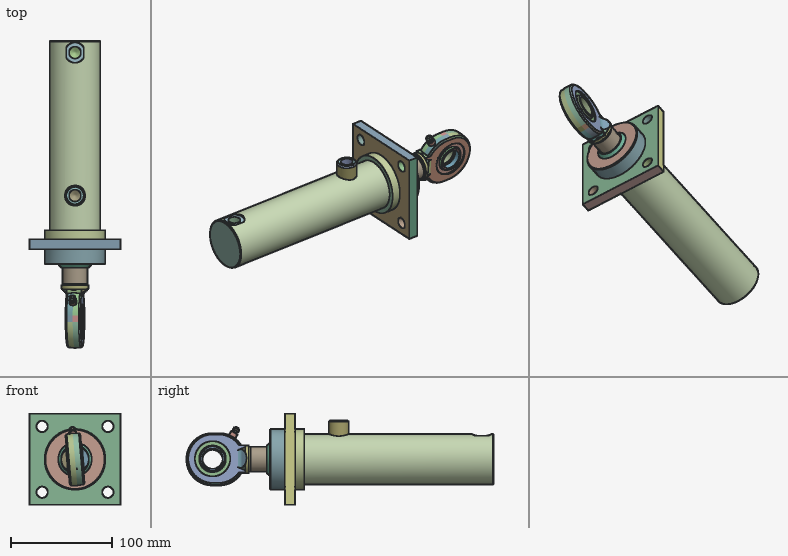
import cadquery as cq
import math

OVERALL_LENGTH = 303.5
REACH = 82.5

TUBE_DIAMETER = 50.0
TUBE_CHAMFER = 1.0
GLAND_DIAMETER = 60.0
GLAND_LENGTH = 34.0
GLAND_CHAMFER = 1.0
FLANGE_SIDE = 90.0
FLANGE_THICKNESS = 10.0
FLANGE_SETBACK = 15.0
FLANGE_HOLE_DIAMETER = 11.0
FLANGE_HOLE_PITCH = 65.0
WIPER_BASE_DIAMETER = 33.0
WIPER_TIP_DIAMETER = 27.0
WIPER_LENGTH = 3.3

PORT_DIAMETER = 11.8
PORT_DEPTH = 12.0
PORT_DRILL_ANGLE = 118.0
BOSS_DIAMETER = 20.0
BOSS_TOP = 38.5
BOSS_CHAMFER = 1.5
FRONT_PORT_FROM_REAR = 153.0
REAR_PORT_FROM_REAR = 11.8
SPOTFACE_DEPTH = 1.5

ROD_DIAMETER = 25.0
ROD_STICKOUT = 18.8

COLLAR_DIAMETER = 27.5
COLLAR_SETBACK = 1.8
COLLAR_STRAIGHT = 3.5
COLLAR_NOSE_DIAMETER = 22.5
NECK_HEIGHT = 26.7
SHOULDER_SETBACK = 2.5
SHOULDER_WIDTH = 17.0
SHOULDER_LENGTH = 5.0
SHOULDER_BLEND_LENGTH = 3.5

EYE_TILT = 5.0
EYE_DIAMETER = 52.0
EYE_STRAIGHT = 6.5
EYE_THICKNESS = 15.0
EYE_CHAMFER = 1.5
EYE_DRAFT = 4.0

RACE_DIAMETER = 35.0
RACE_WIDTH = 12.0
BALL_DIAMETER = 29.0
BALL_WIDTH = 16.0
BALL_BORE = 20.0
BORE_GROOVE_WIDTH = 1.8
BORE_GROOVE_DEPTH = 1.0

NIPPLE_ELEVATION = 60.0
NIPPLE_BASE_DIAMETER = 7.3
NIPPLE_NECK_DIAMETER = 4.0
NIPPLE_HEAD_DIAMETER = 6.0
NIPPLE_TIP_DIAMETER = 3.0
NIPPLE_ROOT_DEPTH = 4.5
NIPPLE_BASE_HEIGHT = 4.5
NIPPLE_NECK_HEIGHT = 2.0
NIPPLE_HEAD_HEIGHT = 2.0
NIPPLE_TIP_HEIGHT = 1.5

TUBE_BACK = OVERALL_LENGTH - REACH
FRONT_PORT_Y = TUBE_BACK - FRONT_PORT_FROM_REAR
REAR_PORT_Y = TUBE_BACK - REAR_PORT_FROM_REAR
ROD_FRONT = -ROD_STICKOUT
COLLAR_BACK = ROD_FRONT - COLLAR_SETBACK
COLLAR_CONE_BACK = COLLAR_BACK - COLLAR_STRAIGHT
SHOULDER_START = COLLAR_BACK - SHOULDER_SETBACK
SHOULDER_BACK = SHOULDER_START - SHOULDER_LENGTH
SHOULDER_FRONT = SHOULDER_BACK - SHOULDER_BLEND_LENGTH
EYE_RADIUS = EYE_DIAMETER / 2
HALF_EYE = EYE_THICKNESS / 2
BEARING_Y = -REACH + EYE_RADIUS
EYE_BACK_ARC_Y = BEARING_Y + EYE_STRAIGHT


def disc(diameter, front, back):
    """Cylinder along Y on the main axis, between two Y positions."""
    plane = cq.Workplane("XZ", origin=(0, back, 0))
    return plane.circle(diameter / 2).extrude(back - front)


def flange():
    """Square mounting plate with a hole in each corner."""
    plate = cq.Workplane("XZ", origin=(0, FLANGE_SETBACK + FLANGE_THICKNESS, 0))
    return (
        plate.rect(FLANGE_SIDE, FLANGE_SIDE)
        .extrude(FLANGE_THICKNESS)
        .faces("<Y")
        .workplane(origin=(0, 0, 0))
        .rect(FLANGE_HOLE_PITCH, FLANGE_HOLE_PITCH, forConstruction=True)
        .vertices()
        .hole(FLANGE_HOLE_DIAMETER)
    )


def wiper():
    """Conical wiper lip standing out of the gland's front face."""
    return (
        cq.Workplane("XZ")
        .circle(WIPER_BASE_DIAMETER / 2)
        .workplane(offset=WIPER_LENGTH)
        .circle(WIPER_TIP_DIAMETER / 2)
        .loft()
    )


def drilled_hole(y, top):
    """Blind port hole with a conical drill point, cut downwards from the height `top`."""
    radius = PORT_DIAMETER / 2
    point_height = radius / math.tan(math.radians(PORT_DRILL_ANGLE / 2))
    shoulder = top - PORT_DEPTH
    return (
        cq.Workplane("XZ", origin=(0, y, 0))
        .moveTo(0, top)
        .lineTo(radius, top)
        .lineTo(radius, shoulder)
        .lineTo(0, shoulder - point_height)
        .close()
        .revolve(360, (0, 0, 0), (0, 1, 0))
    )


def make_housing():
    """Tube, gland, flange, wiper and ports, with a blind seat for the rod."""
    tube = disc(TUBE_DIAMETER, 0, TUBE_BACK).faces(">Y").chamfer(TUBE_CHAMFER)
    gland = disc(GLAND_DIAMETER, 0, GLAND_LENGTH).faces("<Y").chamfer(GLAND_CHAMFER)

    boss = (
        cq.Workplane("XY", origin=(0, FRONT_PORT_Y, 0))
        .circle(BOSS_DIAMETER / 2)
        .extrude(BOSS_TOP)
        .faces(">Z")
        .chamfer(BOSS_CHAMFER)
    )

    spotface_z = TUBE_DIAMETER / 2 - SPOTFACE_DEPTH
    spotface = (
        cq.Workplane("XY", origin=(0, REAR_PORT_Y, spotface_z))
        .circle(BOSS_DIAMETER / 2)
        .extrude(TUBE_DIAMETER)
    )

    body = tube.union(gland).union(flange()).union(wiper()).union(boss)
    body = body.cut(spotface)
    body = body.cut(drilled_hole(FRONT_PORT_Y, BOSS_TOP))
    body = body.cut(drilled_hole(REAR_PORT_Y, spotface_z))
    return body.cut(disc(ROD_DIAMETER, -WIPER_LENGTH, GLAND_LENGTH))


def make_rod():
    """Plain rod from its seat in the gland to the rod end."""
    return disc(ROD_DIAMETER, ROD_FRONT, GLAND_LENGTH)


def eye_half(direction):
    """Half of the eye plate, tapering from the parting plane at X = 0 towards one side."""
    return (
        cq.Workplane("YZ", origin=(0, (BEARING_Y + EYE_BACK_ARC_Y) / 2, 0))
        .slot2D(EYE_STRAIGHT + EYE_DIAMETER, EYE_DIAMETER)
        .extrude(direction * HALF_EYE, taper=EYE_DRAFT)
        .faces(">X" if direction > 0 else "<X")
        .chamfer(EYE_CHAMFER)
    )


def collar():
    """Round collar with a conical nose, its sides cut down to the eye by sloping shoulders."""
    half_collar = COLLAR_DIAMETER / 2
    turned = (
        cq.Workplane("XY")
        .moveTo(0, COLLAR_BACK)
        .lineTo(half_collar, COLLAR_BACK)
        .lineTo(half_collar, COLLAR_CONE_BACK)
        .lineTo(COLLAR_NOSE_DIAMETER / 2, SHOULDER_FRONT)
        .lineTo(0, SHOULDER_FRONT)
        .close()
        .revolve(360, (0, 0, 0), (0, 1, 0))
    )
    half_envelope = (
        cq.Workplane("XY", origin=(0, 0, -half_collar))
        .moveTo(0, EYE_BACK_ARC_Y)
        .lineTo(HALF_EYE, EYE_BACK_ARC_Y)
        .lineTo(HALF_EYE, SHOULDER_FRONT)
        .tangentArcPoint((SHOULDER_WIDTH / 2, SHOULDER_BACK), relative=False)
        .lineTo(half_collar, SHOULDER_START)
        .lineTo(half_collar, COLLAR_BACK)
        .lineTo(0, COLLAR_BACK)
        .close()
        .extrude(COLLAR_DIAMETER)
    )
    return turned.intersect(half_envelope.union(half_envelope.mirror("YZ")))


def shank():
    """Weld stub, collar, and the flat neck that leads into the eye."""
    stub = disc(ROD_DIAMETER, COLLAR_BACK, ROD_FRONT)
    neck = (
        cq.Workplane("XZ", origin=(0, COLLAR_CONE_BACK, 0))
        .rect(EYE_THICKNESS, NECK_HEIGHT)
        .extrude(COLLAR_CONE_BACK - EYE_BACK_ARC_Y)
    )
    return stub.union(collar()).union(neck)


def bearing():
    """Race and spherical ball as one ring, revolved about the bearing axis along X."""
    ball_radius = BALL_DIAMETER / 2
    half_ball = BALL_WIDTH / 2
    half_race = RACE_WIDTH / 2
    half_groove = BORE_GROOVE_WIDTH / 2
    groove_radius = BALL_BORE / 2 + BORE_GROOVE_DEPTH
    ball_face_radius = math.sqrt(ball_radius**2 - half_ball**2)
    race_inner_radius = math.sqrt(ball_radius**2 - half_race**2)
    arc_middle_x = (half_ball + half_race) / 2
    arc_middle_radius = math.sqrt(ball_radius**2 - arc_middle_x**2)
    return (
        cq.Workplane("XY", origin=(0, BEARING_Y, 0))
        .moveTo(-half_ball, BALL_BORE / 2)
        .lineTo(-half_groove, BALL_BORE / 2)
        .lineTo(-half_groove, groove_radius)
        .lineTo(half_groove, groove_radius)
        .lineTo(half_groove, BALL_BORE / 2)
        .lineTo(half_ball, BALL_BORE / 2)
        .lineTo(half_ball, ball_face_radius)
        .threePointArc((arc_middle_x, arc_middle_radius), (half_race, race_inner_radius))
        .lineTo(half_race, RACE_DIAMETER / 2)
        .lineTo(-half_race, RACE_DIAMETER / 2)
        .lineTo(-half_race, race_inner_radius)
        .threePointArc((-arc_middle_x, arc_middle_radius), (-half_ball, ball_face_radius))
        .close()
        .revolve(360, (0, 0, 0), (1, 0, 0))
    )


def grease_nipple():
    """Nipple pointing radially out of the eye's rear arc."""
    root = EYE_RADIUS - NIPPLE_ROOT_DEPTH
    base_top = EYE_RADIUS + NIPPLE_BASE_HEIGHT
    neck_top = base_top + NIPPLE_NECK_HEIGHT
    head_top = neck_top + NIPPLE_HEAD_HEIGHT
    nipple = (
        cq.Workplane("XY")
        .moveTo(0, root)
        .lineTo(NIPPLE_BASE_DIAMETER / 2, root)
        .lineTo(NIPPLE_BASE_DIAMETER / 2, base_top)
        .lineTo(NIPPLE_NECK_DIAMETER / 2, base_top)
        .lineTo(NIPPLE_NECK_DIAMETER / 2, neck_top)
        .lineTo(NIPPLE_HEAD_DIAMETER / 2, neck_top)
        .lineTo(NIPPLE_HEAD_DIAMETER / 2, head_top)
        .lineTo(NIPPLE_TIP_DIAMETER / 2, head_top + NIPPLE_TIP_HEIGHT)
        .lineTo(0, head_top + NIPPLE_TIP_HEIGHT)
        .close()
        .revolve(360, (0, 0, 0), (0, 1, 0))
    )
    nipple = nipple.rotate((0, 0, 0), (1, 0, 0), NIPPLE_ELEVATION)
    return nipple.translate((0, EYE_BACK_ARC_Y, 0))


def make_rod_end():
    """Eye with its bearing, shank and nipple, tilted about the rod axis."""
    eye = eye_half(1).union(eye_half(-1)).union(shank())
    seat = (
        cq.Workplane("YZ", origin=(-HALF_EYE, BEARING_Y, 0))
        .circle(RACE_DIAMETER / 2)
        .extrude(EYE_THICKNESS)
    )
    body = eye.cut(seat).union(bearing()).union(grease_nipple())
    return body.rotate((0, 0, 0), (0, 1, 0), -EYE_TILT)


housing = make_housing()
rod = make_rod()
rod_end = make_rod_end()
result = cq.Compound.makeCompound([housing.val(), rod.val(), rod_end.val()])